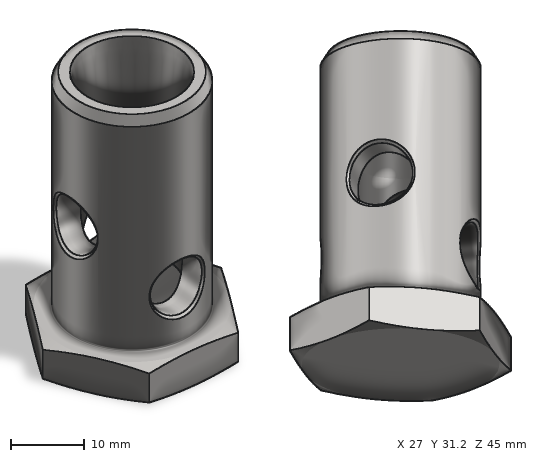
import cadquery as cq
import math

total_height = 45.0
head_height = 6.05
across_flats = 27.0
across_corners = across_flats / math.cos(math.radians(30))
shank_diameter = 21.95
shank_radius = shank_diameter / 2

head_chamfer_drop = 0.6
tip_chamfer_width = 0.9
tip_chamfer_height = 1.5
root_fillet = 0.4

bore_mouth_diameter = 16.95
bore_floor_diameter = 14.0
bore_taper_end = 30.0
bore_floor_height = 9.9
bore_tip_angle = 118.0

cross_hole_diameter = 9.0
cross_hole_chamfer = 0.4
x_hole_height = 14.95
y_hole_height = 24.0


def make_head():
    """Hexagonal head, flats facing +X and -X, with both sets of corners chamfered."""
    hexagon = (
        cq.Workplane("XY")
        .polygon(6, across_corners)
        .extrude(head_height)
        .rotate((0, 0, 0), (0, 0, 1), 30)
    )
    flat_radius = across_flats / 2
    corner_radius = across_corners / 2
    chamfer_envelope = (
        cq.Workplane("XZ")
        .moveTo(0, 0)
        .lineTo(flat_radius, 0)
        .lineTo(corner_radius, head_chamfer_drop)
        .lineTo(corner_radius, head_height - head_chamfer_drop)
        .lineTo(flat_radius, head_height)
        .lineTo(0, head_height)
        .close()
        .revolve(360, (0, 0), (0, 1))
    )
    return hexagon.intersect(chamfer_envelope)


def make_shank():
    """Round shank with a chamfered end and a small fillet flaring onto the head."""
    return (
        cq.Workplane("XZ")
        .moveTo(0, 0)
        .lineTo(shank_radius + root_fillet, 0)
        .lineTo(shank_radius + root_fillet, head_height)
        .radiusArc((shank_radius, head_height + root_fillet), root_fillet)
        .lineTo(shank_radius, total_height - tip_chamfer_height)
        .lineTo(shank_radius - tip_chamfer_width, total_height)
        .lineTo(0, total_height)
        .close()
        .revolve(360, (0, 0), (0, 1))
    )


def cut_cross_holes(body):
    """Drill both cross holes through the solid shank and break their outer edges."""
    x_hole = (
        cq.Workplane("YZ")
        .center(0, x_hole_height)
        .circle(cross_hole_diameter / 2)
        .extrude(shank_diameter, both=True)
    )
    y_hole = (
        cq.Workplane("XZ")
        .center(0, y_hole_height)
        .circle(cross_hole_diameter / 2)
        .extrude(shank_diameter, both=True)
    )
    drilled = body.cut(x_hole).cut(y_hole)
    hole_radius = cross_hole_diameter / 2
    rim_band = cq.selectors.BoxSelector(
        (-shank_diameter, -shank_diameter, x_hole_height - hole_radius),
        (shank_diameter, shank_diameter, y_hole_height + hole_radius),
    )
    return drilled.edges(rim_band).edges("not %LINE").chamfer(cross_hole_chamfer)


def make_bore():
    """Tapered mouth narrowing to a straight bore with a conical floor."""
    floor_radius = bore_floor_diameter / 2
    tip_depth = floor_radius / math.tan(math.radians(bore_tip_angle / 2))
    return (
        cq.Workplane("XZ")
        .moveTo(0, bore_floor_height - tip_depth)
        .lineTo(floor_radius, bore_floor_height)
        .lineTo(floor_radius, bore_taper_end)
        .lineTo(bore_mouth_diameter / 2, total_height)
        .lineTo(0, total_height)
        .close()
        .revolve(360, (0, 0), (0, 1))
    )


body = make_head().union(make_shank())
result = cut_cross_holes(body).cut(make_bore())